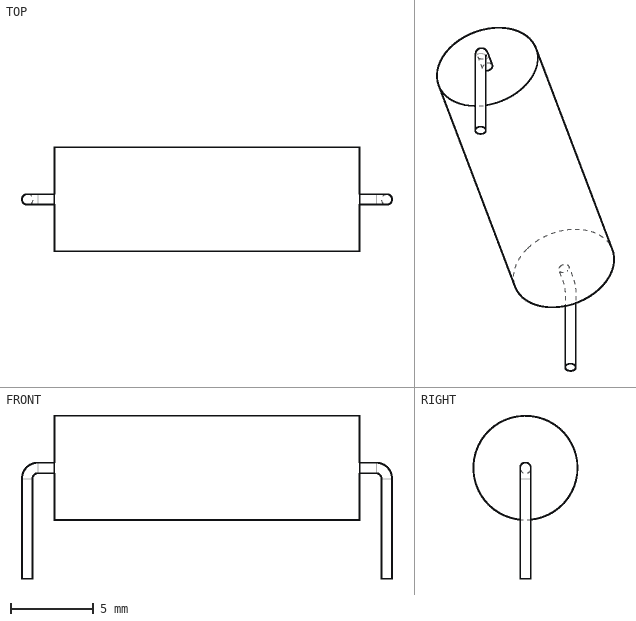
import cadquery as cq

overall_length = 22.48
overall_height = 9.91
body_diameter = 6.35
body_length = 18.55
lead_diameter = 0.65
bend_radius = 0.65

body_radius = body_diameter / 2
lead_radius = lead_diameter / 2
body_end = body_length / 2
lead_x = overall_length / 2 - lead_radius
bend_start_x = lead_x - bend_radius
lead_tip_z = body_radius - overall_height


def make_body():
    """Plain cylinder lying along X."""
    return cq.Workplane("YZ", origin=(-body_end, 0, 0)).circle(body_radius).extrude(body_length)


def make_lead(side):
    """Round wire from a body end face, bent down; side is -1 or +1 along X."""
    centreline = (
        cq.Workplane("XZ")
        .moveTo(side * body_end, 0)
        .lineTo(side * bend_start_x, 0)
        .tangentArcPoint((side * lead_x, -bend_radius), relative=False)
        .lineTo(side * lead_x, lead_tip_z)
    )
    wire_section = cq.Workplane("YZ", origin=(side * body_end, 0, 0)).circle(lead_radius)
    return wire_section.sweep(centreline)


body = make_body()
leads = [make_lead(side) for side in (-1, 1)]

result = cq.Compound.makeCompound([body.val(), *[lead.val() for lead in leads]])